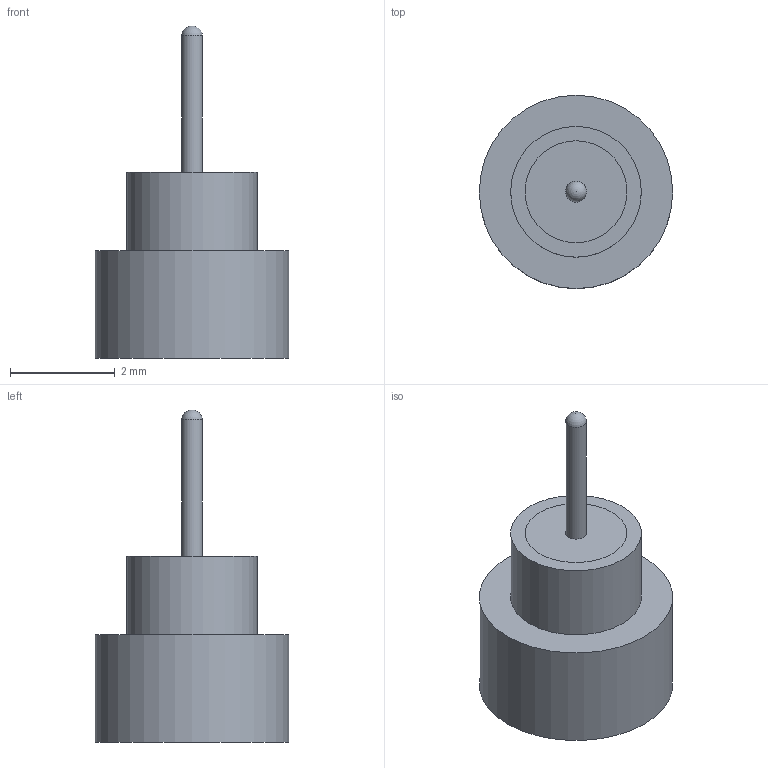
import cadquery as cq

base_diameter = 3.7
base_height = 2.05
collar_diameter = 2.5
collar_height = 1.5
insert_diameter = 1.95
pin_diameter = 0.4
total_height = 6.35
dome_height = 0.18

collar_top = base_height + collar_height
dome_start = total_height - dome_height


def make_shell():
    """Stepped round body, bored through the collar to receive the insert."""
    base = cq.Workplane("XY").circle(base_diameter / 2).extrude(base_height)
    collar = (
        cq.Workplane("XY", origin=(0, 0, base_height))
        .circle(collar_diameter / 2)
        .circle(insert_diameter / 2)
        .extrude(collar_height)
    )
    return base.union(collar)


def make_insert():
    """Disc that fills the collar bore, flush with the collar's top face."""
    return (
        cq.Workplane("XY", origin=(0, 0, base_height))
        .circle(insert_diameter / 2)
        .extrude(collar_height)
    )


def make_pin():
    """Slender round pin with a domed tip, revolved about the Z axis."""
    radius = pin_diameter / 2
    dome_radius = (radius**2 + dome_height**2) / (2 * dome_height)
    dome_center = total_height - dome_radius
    half_diagonal = dome_radius * 0.5**0.5
    return (
        cq.Workplane("XZ")
        .moveTo(0, collar_top)
        .lineTo(radius, collar_top)
        .lineTo(radius, dome_start)
        .threePointArc((half_diagonal, dome_center + half_diagonal), (0, total_height))
        .close()
        .revolve(360, (0, 0, 0), (0, 1, 0))
    )


result = make_shell().union(make_insert(), clean=False).union(make_pin(), clean=False)